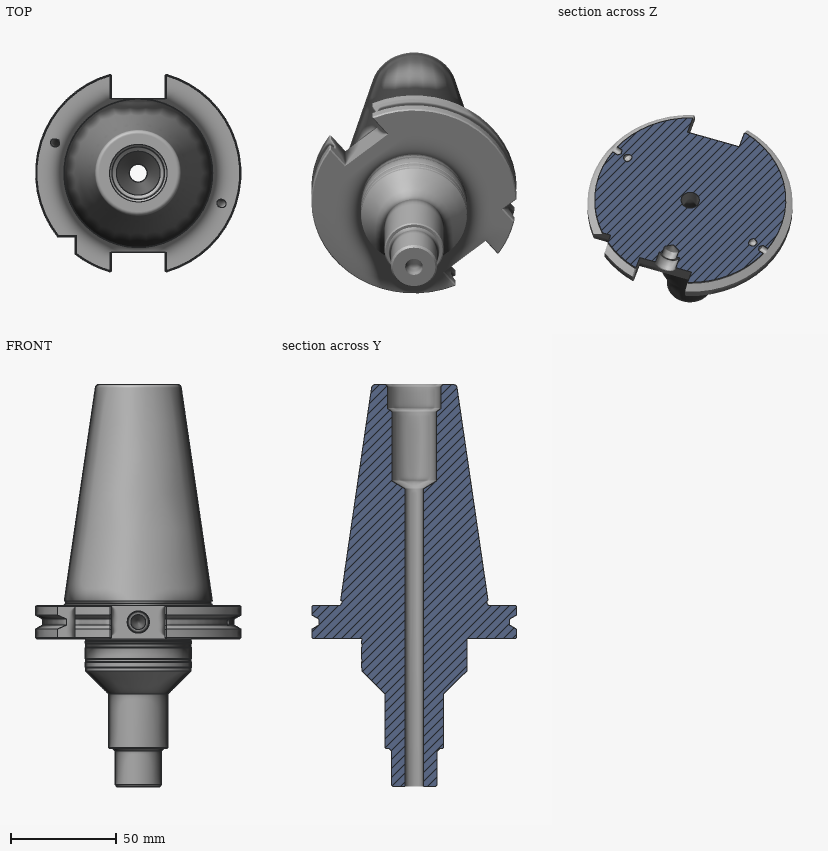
import cadquery as cq
import math

TOTAL_LENGTH = 191.1
GAUGE_Z = 88.3
FLANGE_TOP = 86.2
FLANGE_BOTTOM = 70.3

TAPER_RATIO = 7 / 24
GAUGE_RADIUS = 35.2
TAPER_TOP_RADIUS = GAUGE_RADIUS - (TOTAL_LENGTH - GAUGE_Z) * TAPER_RATIO / 2
TAPER_TOP_FILLET = 2.0
RELIEF_RADIUS = 34.5
RELIEF_BOTTOM = 87.1
COLLAR_RADIUS = 35.4

FLANGE_RADIUS = 48.7
FLANGE_CHAMFER = 0.5
GROOVE_RADIUS = 45.5
GROOVE_Z = (FLANGE_TOP + FLANGE_BOTTOM) / 2
GROOVE_FLOOR_WIDTH = 2.9
GROOVE_FLANK_ANGLE = 30.0

SLOT_WIDTH = 25.6
SLOT_FLOOR_FRONT = 37.6
SLOT_FLOOR_BACK = 35.4
NOTCH_X = -30.0
NOTCH_Y = -30.2

SCREW_RECESS_DIAMETER = 10.0
SCREW_RECESS_CHAMFER = 0.29
SCREW_RECESS_DEPTH = 5.7
SCREW_HOLE_DIAMETER = 7.0
SCREW_HOLE_DEPTH = 9.5

COOLANT_CIRCLE_RADIUS = 42.0
COOLANT_ANGLES = (160.0, -20.0)
COOLANT_INLET_DIAMETER = 3.8
COOLANT_INLET_DEPTH = 9.5
COOLANT_INLET_TILT = 30.0
COOLANT_RADIAL_DIAMETER = 3.2
COOLANT_RADIAL_DEPTH = 2.9

NECK_RADIUS = 25.0
NECK_BOTTOM = 55.0
LAND_RADIUS = 25.2
LAND_TAPER = 0.48
LANDS = ((69.5, 67.8), (66.5, 60.5), (59.6, 56.4))

SHANK_RADIUS = 14.05
SHANK_TOP = 44.1
SHANK_BOTTOM = 18.2
SHANK_CHAMFER = 0.5
NOSE_RADIUS = 10.99
NOSE_FLARE = 1.1
NOSE_CHAMFER_HEIGHT = 1.1
NOSE_TIP_RADIUS = 10.1

MOUTH_RADIUS = 13.66
PILOT_RADIUS = 12.52
PILOT_DEPTH = 11.5
THREAD_RADIUS = 10.41
THREAD_DEPTH = 45.9
SEAT_HEIGHT = 1.5
BORE_RADIUS = 4.2

DRILL_TIP_ANGLE = 118.0


def tip_height(radius):
    """Length of the conical end that a twist drill of this radius leaves."""
    return radius / math.tan(math.radians(DRILL_TIP_ANGLE / 2))


def revolve_profile(points):
    """Solid of revolution about Z from (radius, height) points."""
    return cq.Workplane("XZ").polyline(points).close().revolve(360, (0, 0, 0), (0, 1, 0))


def drilled_hole(diameter, depth):
    """Blind drilled hole that starts at the origin and runs along -Z."""
    radius = diameter / 2
    return revolve_profile([
        (0, 0),
        (radius, 0),
        (radius, -depth),
        (0, -depth - tip_height(radius)),
    ])


def make_taper():
    """Steep taper standing on a relief and a collar inside the flange."""
    taper = revolve_profile([
        (0, FLANGE_BOTTOM),
        (COLLAR_RADIUS, FLANGE_BOTTOM),
        (COLLAR_RADIUS, FLANGE_TOP),
        (RELIEF_RADIUS, RELIEF_BOTTOM),
        (RELIEF_RADIUS, GAUGE_Z),
        (GAUGE_RADIUS, GAUGE_Z),
        (TAPER_TOP_RADIUS, TOTAL_LENGTH),
        (0, TOTAL_LENGTH),
    ])
    return taper.faces(">Z").edges().fillet(TAPER_TOP_FILLET)


def plane_band(x_center, half_width):
    """Selector for faces centred within a thin band of X."""
    reach = TOTAL_LENGTH
    return cq.selectors.BoxSelector(
        (x_center - half_width, -reach, -reach),
        (x_center + half_width, reach, reach),
    )


def make_flange():
    """Grooved flange with two drive slots, a corner notch and broken edges."""
    floor_half = GROOVE_FLOOR_WIDTH / 2
    flank = (FLANGE_RADIUS - GROOVE_RADIUS) * math.tan(math.radians(GROOVE_FLANK_ANGLE))
    mouth_half = floor_half + flank
    flange = revolve_profile([
        (0, FLANGE_BOTTOM),
        (FLANGE_RADIUS, FLANGE_BOTTOM),
        (FLANGE_RADIUS, GROOVE_Z - mouth_half),
        (GROOVE_RADIUS, GROOVE_Z - floor_half),
        (GROOVE_RADIUS, GROOVE_Z + floor_half),
        (FLANGE_RADIUS, GROOVE_Z + mouth_half),
        (FLANGE_RADIUS, FLANGE_TOP),
        (0, FLANGE_TOP),
    ])

    slot = cq.Workplane("XY").box(SLOT_WIDTH, FLANGE_RADIUS, TOTAL_LENGTH)
    for floor_y, side in ((SLOT_FLOOR_FRONT, -1), (SLOT_FLOOR_BACK, 1)):
        slot_y = side * (floor_y + FLANGE_RADIUS / 2)
        flange = flange.cut(slot.translate((0, slot_y, GROOVE_Z)))

    notch = cq.Workplane("XY").box(FLANGE_RADIUS, FLANGE_RADIUS, TOTAL_LENGTH)
    notch_x = NOTCH_X - FLANGE_RADIUS / 2
    notch_y = NOTCH_Y - FLANGE_RADIUS / 2
    flange = flange.cut(notch.translate((notch_x, notch_y, GROOVE_Z)))

    tolerance = 0.02
    wall_x = SLOT_WIDTH / 2
    wall_planes = plane_band(-wall_x, tolerance) + plane_band(wall_x, tolerance)
    walls = flange.faces(wall_planes).edges().vals()
    rims = flange.faces("|Z").edges().vals()
    floors = flange.faces("|Y").faces(plane_band(0, 2)).edges().vals()
    broken = [edge for edge in walls + rims if not any(edge.isSame(floor) for floor in floors)]
    return flange.newObject(broken).chamfer(FLANGE_CHAMFER)


def make_lower_body():
    """Neck, cone, shank and nose below the flange."""
    body = revolve_profile([
        (0, FLANGE_BOTTOM),
        (NECK_RADIUS, FLANGE_BOTTOM),
        (NECK_RADIUS, NECK_BOTTOM),
        (SHANK_RADIUS, SHANK_TOP),
        (SHANK_RADIUS, SHANK_BOTTOM + SHANK_CHAMFER),
        (SHANK_RADIUS - SHANK_CHAMFER, SHANK_BOTTOM),
        (NOSE_RADIUS + NOSE_FLARE, SHANK_BOTTOM),
        (NOSE_RADIUS, SHANK_BOTTOM - NOSE_FLARE),
        (NOSE_RADIUS, NOSE_CHAMFER_HEIGHT),
        (NOSE_TIP_RADIUS, 0),
        (0, 0),
    ])
    for top, bottom in LANDS:
        body = body.union(revolve_profile([
            (0, top),
            (NECK_RADIUS, top),
            (LAND_RADIUS, top - LAND_TAPER),
            (LAND_RADIUS, bottom + LAND_TAPER),
            (NECK_RADIUS, bottom),
            (0, bottom),
        ]))
    return body


def make_bore():
    """Stepped bore from the taper end, continued as a through hole to the nose."""
    mouth_bottom = TOTAL_LENGTH - (MOUTH_RADIUS - PILOT_RADIUS)
    pilot_bottom = TOTAL_LENGTH - PILOT_DEPTH
    thread_bottom = TOTAL_LENGTH - THREAD_DEPTH
    cone_bottom = thread_bottom - tip_height(THREAD_RADIUS) + tip_height(BORE_RADIUS)
    return revolve_profile([
        (0, TOTAL_LENGTH),
        (MOUTH_RADIUS, TOTAL_LENGTH),
        (PILOT_RADIUS, mouth_bottom),
        (PILOT_RADIUS, pilot_bottom),
        (THREAD_RADIUS, pilot_bottom - SEAT_HEIGHT),
        (THREAD_RADIUS, thread_bottom),
        (BORE_RADIUS, cone_bottom),
        (BORE_RADIUS, 0),
        (0, 0),
    ])


def make_screw_hole():
    """Chamfered recess with a narrower drilled hole in its floor."""
    radius = SCREW_RECESS_DIAMETER / 2
    recess = revolve_profile([
        (0, 0),
        (radius + SCREW_RECESS_CHAMFER, 0),
        (radius, -SCREW_RECESS_CHAMFER),
        (radius, -SCREW_RECESS_DEPTH),
        (0, -SCREW_RECESS_DEPTH),
    ])
    hole = recess.union(drilled_hole(SCREW_HOLE_DIAMETER, SCREW_HOLE_DEPTH))
    return hole.rotate((0, 0, 0), (1, 0, 0), 90).translate((0, -SLOT_FLOOR_FRONT, GROOVE_Z))


def make_coolant_holes(angle):
    """Inlet tilted inwards from the flange top, and a radial hole in the groove floor."""
    inlet = drilled_hole(COOLANT_INLET_DIAMETER, COOLANT_INLET_DEPTH)
    clearance = cq.Workplane("XY").circle(COOLANT_INLET_DIAMETER / 2).extrude(COOLANT_INLET_DIAMETER)
    inlet = inlet.union(clearance)
    inlet = inlet.rotate((0, 0, 0), (0, 1, 0), COOLANT_INLET_TILT)
    inlet = inlet.translate((COOLANT_CIRCLE_RADIUS, 0, FLANGE_TOP))

    radial_length = COOLANT_RADIAL_DEPTH + FLANGE_RADIUS - GROOVE_RADIUS
    radial = drilled_hole(COOLANT_RADIAL_DIAMETER, radial_length)
    radial = radial.rotate((0, 0, 0), (0, 1, 0), 90).translate((FLANGE_RADIUS, 0, GROOVE_Z))
    return inlet.union(radial).rotate((0, 0, 0), (0, 0, 1), angle)


result = make_flange().union(make_taper()).union(make_lower_body())
result = result.cut(make_bore()).cut(make_screw_hole())
for coolant_angle in COOLANT_ANGLES:
    result = result.cut(make_coolant_holes(coolant_angle))